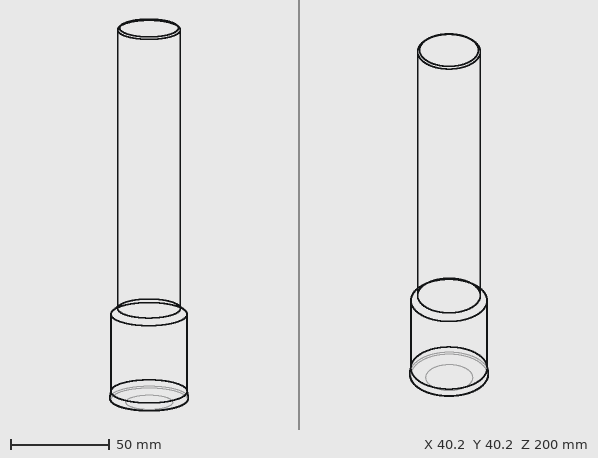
import cadquery as cq
import math

overall_length = 200.0

shank_radius = 16.0
shank_end_chamfer = 1.0
head_radius = 19.45
head_top_z = 50.0
shoulder_height = 3.0

rim_radius = 20.12
nose_flat_radius = 12.0
nose_corner_radius = 0.8
relief_angle = math.radians(11.0)

corner_start_radius = rim_radius - nose_corner_radius * (1 - math.sin(relief_angle))
corner_start_z = (corner_start_radius - nose_flat_radius) * math.tan(relief_angle)
rim_z = corner_start_z + nose_corner_radius * math.cos(relief_angle)

joint_z = rim_z + (rim_radius - head_radius) / math.tan(relief_angle)


def revolve_about_z(profile):
    """Full turn of a half profile, closed along the tool axis."""
    return profile.close().revolve(360, (0, 0, 0), (0, 1, 0))


def make_holder():
    """Shank and head, standing on the flat joint with the tip."""
    profile = (
        cq.Workplane("XZ")
        .moveTo(0, joint_z)
        .lineTo(head_radius, joint_z)
        .lineTo(head_radius, head_top_z - shoulder_height)
        .lineTo(shank_radius, head_top_z)
        .lineTo(shank_radius, overall_length - shank_end_chamfer)
        .lineTo(shank_radius - shank_end_chamfer, overall_length)
        .lineTo(0, overall_length)
    )
    return revolve_about_z(profile)


def make_cutting_tip():
    """Tip that tapers from its rim up to the head and down to a flat nose."""
    profile = (
        cq.Workplane("XZ")
        .lineTo(nose_flat_radius, 0)
        .lineTo(corner_start_radius, corner_start_z)
        .tangentArcPoint((rim_radius, rim_z), relative=False)
        .lineTo(head_radius, joint_z)
        .lineTo(0, joint_z)
    )
    return revolve_about_z(profile)


holder = make_holder()
cutting_tip = make_cutting_tip()

result = cq.Compound.makeCompound([holder.val(), cutting_tip.val()])